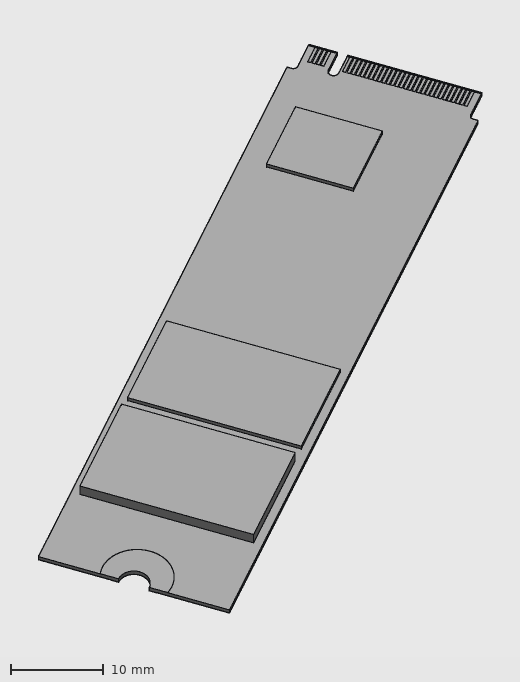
import cadquery as cq
import math

board_width = 22.0
board_length = 80.0
board_thickness = 0.51
overall_height = 2.3

tongue_width = 19.9
tongue_length = 4.0
shoulder_radius = 0.5
bevel_length = 0.27
bevel_angle = 20.0

key_width = 1.2
key_depth = 3.4
key_x = -6.1

notch_radius = 1.8
top_pad_radius = 4.0
top_pad_inset = 1.0
bottom_pad_radius = 2.7
pad_thickness = 0.02

contact_positions = 37
contact_span = 18.0
contact_width = 0.35
contact_length = 2.2
key_gap_positions = range(4, 8)

chip_height = 0.47
controller_width = 10.0
controller_length = 8.9
controller_x = -3.0
controller_y = 26.1
package_width = 20.0
memory_length = 11.9
memory_y = -9.4

tall_length = 12.7
tall_y = -23.6

chip_bottom = -chip_height
tall_top = overall_height + chip_bottom
tip_y = board_length / 2
end_y = -tip_y
shoulder_y = tip_y - tongue_length
bevel_y = tip_y - bevel_length
bevel_drop = bevel_length * math.tan(math.radians(bevel_angle))
contact_pitch = contact_span / (contact_positions - 1)


def block(width, length, bottom, top, x=0.0, y=0.0):
    """Rectangular block centred on (x, y) between two heights."""
    return cq.Workplane("XY", origin=(x, y, bottom)).rect(width, length).extrude(top - bottom)


def disc(radius, bottom, top, x=0.0, y=0.0):
    """Round disc centred on (x, y) between two heights."""
    return cq.Workplane("XY", origin=(x, y, bottom)).circle(radius).extrude(top - bottom)


def board_plate():
    """Plain board with the narrower tongue and its rounded inner shoulders."""
    body_length = board_length - tongue_length
    body = block(board_width, body_length, 0, board_thickness, y=end_y + body_length / 2)
    tongue = block(tongue_width, tongue_length, 0, board_thickness, y=shoulder_y + tongue_length / 2)
    plate = body.union(tongue)
    for side in (-1, 1):
        shoulder = (side * tongue_width / 2, shoulder_y, board_thickness / 2)
        plate = plate.edges(cq.selectors.NearestToPointSelector(shoulder)).fillet(shoulder_radius)
    return plate


def bevel_cut():
    """Wedge removed from the upper side of the connector tip."""
    profile = [
        (bevel_y, board_thickness),
        (tip_y, board_thickness),
        (tip_y, board_thickness - bevel_drop),
    ]
    return cq.Workplane("YZ").polyline(profile).close().extrude(tongue_width / 2, both=True)


def key_cut():
    """Round-ended slot open at the connector tip."""
    end_radius = key_width / 2
    end_center_y = tip_y - key_depth + end_radius
    straight_length = tip_y - end_center_y
    straight = block(
        key_width, straight_length, 0, board_thickness, x=key_x, y=end_center_y + straight_length / 2
    )
    return straight.union(disc(end_radius, 0, board_thickness, x=key_x, y=end_center_y))


def contacts():
    """Thin contacts on the upper side, left out where the key slot passes."""
    first_x = -contact_span / 2
    center_y = bevel_y - contact_length / 2
    centers = [
        (first_x + i * contact_pitch, center_y)
        for i in range(contact_positions)
        if i not in key_gap_positions
    ]
    upper_face = cq.Workplane("XY", origin=(0, 0, board_thickness))
    return upper_face.pushPoints(centers).rect(contact_width, contact_length).extrude(pad_thickness)


def mounting_pads():
    """Thin solder pads on both sides, ending flush with the board edge."""
    pad_top = board_thickness + pad_thickness
    top = disc(top_pad_radius, board_thickness, pad_top, y=end_y + top_pad_inset)
    bottom = disc(bottom_pad_radius, -pad_thickness, 0, y=end_y)
    return top.union(bottom).intersect(block(board_width, board_length, -pad_thickness, pad_top))


def notch_cut():
    """Half-round mounting notch through the board and its pads."""
    return disc(notch_radius, -pad_thickness, board_thickness + pad_thickness, y=end_y)


def make_through_chip(width, length, x, y):
    """Chip that passes through the board and stands equally proud on both sides."""
    return block(width, length, chip_bottom, board_thickness + chip_height, x, y)


def make_board(through_chips):
    """Board with its copper and tall package, opened where the chips pass through."""
    tall_package = block(package_width, tall_length, board_thickness, tall_top, y=tall_y)
    board = board_plate().cut(bevel_cut()).cut(key_cut())
    board = board.union(contacts()).union(mounting_pads()).cut(notch_cut()).union(tall_package)
    for chip in through_chips:
        board = board.cut(chip)
    return board


controller = make_through_chip(controller_width, controller_length, controller_x, controller_y)
memory = make_through_chip(package_width, memory_length, 0, memory_y)
board = make_board([controller, memory])

result = cq.Compound.makeCompound([board.solids().val(), controller.val(), memory.val()])